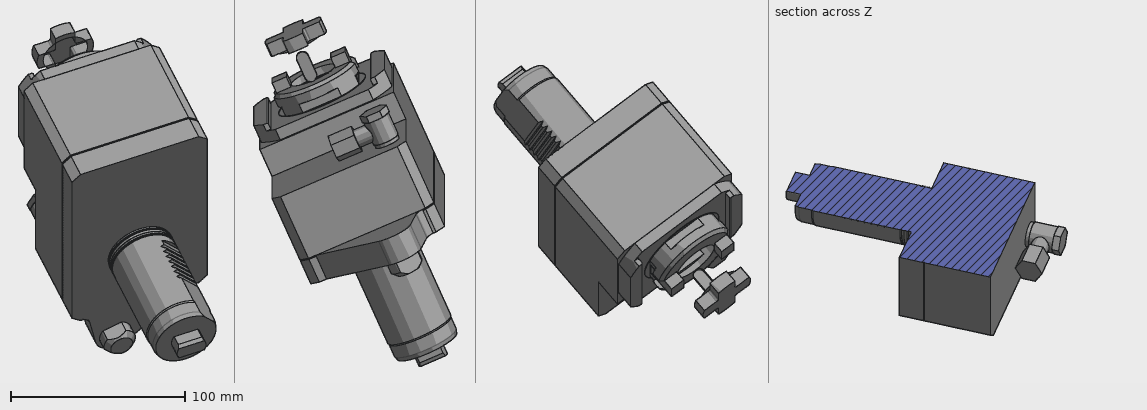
import cadquery as cq
import math


clearance = 1.0

body_half_width = 42.0
body_top = 87.2
body_bottom = -47.8
body_front = -72.5
flange_thickness = 15.3
foot_front = -55.1
foot_top = 11.1
edge_bevel_y = 5.4
edge_bevel_z = 4.8
seam_width = 0.5
seam_depth = 0.4

spindle_z = 50.1
plate_front = -79.2
plate_half_width = 41.0
plate_half_height = 36.8
plate_corner_radius = 47.0
rail_front = -83.4
rail_inner = 32.0
rail_half_height = 31.5
rail_bevel = 0.5
recess_radius = 27.3
recess_depth = 0.4

collar_radius = 26.0
collar_front = -91.7
collar_bevel = 2.0
collar_flat = 23.0
collar_flat_front = -84.2
tenon_front = -98.3
tenon_half_length = 22.9
tenon_inner_end = 14.0
tenon_width = 12.1
spindle_radius = 13.7
cross_front = -120.4
cross_thickness = 8.0
cross_radius = 17.5
cross_fillet = 1.4
key_front = -110.2
key_width = 7.2
key_reach = 15.5

shank_radius = 19.9
shank_end = 70.0
pilot_start = 59.9
pilot_step_length = 1.0
pilot_radius = 19.5
pilot_bevel_length = 2.5
pilot_bevel_depth = 0.8
neck_length = 1.4
ring_radius = 19.7
ring_start = 2.4
ring_end = 4.2
groove_start = 5.5
groove_end = 6.5
groove_radius = 19.5
serration_flat_angle = 38
serration_flat_distance = 18.1
serration_flat_start = 11.3
serration_first = 16.0
serration_pitch = 4.0
serration_count = 7
serration_width = 2.5
serration_depth = 1.3

tang_end = 78.6
tang_radius = 9.0
tang_half_thickness = 5.2
tang_bevel_length = 2.4
tang_bevel_depth = 1.0

lug_y = -15.1
lug_radius = 12.3
lug_bottom = -82.4
lug_left_y = 32.0
lug_right_y = -30.8
lug_right_z = -52.3
lug_right_root_y = -34.8
lug_right_slope = math.radians(10.4)
stud_length = 9.8
stud_radius = 9.8
stud_bevel = 3.0
stud_flats = ((14, 7.8), (152, 6.2))

nozzle_y = -30.5
nozzle_z = -27.9
nozzle_radius = 7.8
nozzle_front = -71.5
nozzle_head_front = -75.6
nozzle_head_flats = 14.5
nozzle_neck_length = 2.2
nozzle_neck_radius = 7.4
spout_radius = 5.4
spout_hex_start = -15.3
spout_hex_end = -0.8
spout_hex_flats = 14.0
port_z = -29.8
port_radius = 7.0
port_height = 0.8


def box(x0, x1, y0, y1, z0, z1):
    """Box between two opposite corners."""
    return cq.Workplane("XY").box(x1 - x0, y1 - y0, z1 - z0, centered=False).translate((x0, y0, z0))


def section(x, y=0, z=0):
    """Sketch plane across X, with local axes along Y and Z."""
    return cq.Workplane("YZ", origin=(x, y, z))


def rod(x0, x1, radius, y=0, z=0):
    """Cylinder along X."""
    return section(x0, y, z).circle(radius).extrude(x1 - x0)


def bevelled_block(x0, x1, inset=0):
    """Full-height housing slice with its four long edges bevelled."""
    side = body_half_width - inset
    top = body_top - inset
    bottom = body_bottom + inset
    corners = [
        (side, bottom + edge_bevel_z),
        (side, top - edge_bevel_z),
        (side - edge_bevel_y, top),
        (edge_bevel_y - side, top),
        (-side, top - edge_bevel_z),
        (-side, bottom + edge_bevel_z),
        (edge_bevel_y - side, bottom),
        (side - edge_bevel_y, bottom),
    ]
    return section(x0).polyline(corners).close().extrude(x1 - x0)


def housing():
    seam_end = seam_width - flange_thickness
    front = bevelled_block(body_front, -flange_thickness)
    front = front.cut(
        box(body_front, foot_front, -body_half_width, body_half_width, body_bottom, foot_top)
    )
    seam = bevelled_block(-flange_thickness, seam_end, seam_depth)
    return front.union(seam).union(bevelled_block(seam_end, 0))


def lug():
    centre_z = lug_bottom + lug_radius
    root_dy = lug_left_y - lug_y
    root_dz = body_bottom - centre_z
    root_distance = math.hypot(root_dy, root_dz)
    left_angle = math.atan2(root_dz, root_dy) - math.acos(lug_radius / root_distance)
    right_angle = math.pi + lug_right_slope

    def on_tip(angle):
        return (lug_y + lug_radius * math.cos(angle), centre_z + lug_radius * math.sin(angle))

    outline = (
        section(-flange_thickness)
        .moveTo(lug_left_y, body_bottom + edge_bevel_z)
        .lineTo(lug_left_y, body_bottom)
        .lineTo(*on_tip(left_angle))
        .threePointArc((lug_y, lug_bottom), on_tip(right_angle))
        .lineTo(lug_right_y, lug_right_z)
        .tangentArcPoint((lug_right_root_y, body_bottom), relative=False)
        .lineTo(lug_right_root_y, body_bottom + edge_bevel_z)
        .close()
    )
    return outline.extrude(flange_thickness).union(locating_stud(lug_y, centre_z))


def locating_stud(y, z):
    """Round stud with two flats along its full length."""
    stud = rod(0, stud_length, stud_radius, y, z).faces(">X").chamfer(stud_bevel)
    for tilt, distance in stud_flats:
        beyond_flat = box(
            0, stud_length,
            y - stud_radius, y + stud_radius,
            z + distance, z + stud_radius,
        )
        stud = stud.cut(beyond_flat.rotate((0, y, z), (1, y, z), tilt))
    return stud


def front_plate():
    top = spindle_z + plate_half_height
    bottom = spindle_z - plate_half_height
    plate = box(rail_front, body_front, -plate_half_width, plate_half_width, bottom, top)
    plate = plate.intersect(rod(rail_front, body_front, plate_corner_radius, z=spindle_z))

    rail_top = spindle_z + rail_half_height
    rail_bottom = spindle_z - rail_half_height
    plate = plate.cut(box(rail_front, plate_front, -rail_inner, rail_inner, bottom, top))
    for z0, z1 in ((bottom, rail_bottom), (rail_top, top)):
        plate = plate.cut(box(rail_front, plate_front, -plate_half_width, plate_half_width, z0, z1))
    for side in (-1, 1):
        bevel = (
            cq.Workplane("XY", origin=(rail_front, side * rail_inner, rail_bottom))
            .polyline([(0, 0), (rail_bevel, 0), (0, side * rail_bevel)])
            .close()
            .extrude(rail_top - rail_bottom)
        )
        plate = plate.cut(bevel)

    return plate.cut(rod(plate_front, plate_front + recess_depth, recess_radius, z=spindle_z))


def collar():
    ring = rod(collar_front, body_front, collar_radius, z=spindle_z).faces("<X").chamfer(collar_bevel)

    squared = box(
        collar_flat_front, body_front,
        -collar_flat, collar_flat,
        spindle_z - collar_flat, spindle_z + collar_flat,
    )
    rim = rod(collar_front, collar_flat_front, collar_radius, z=spindle_z)
    ring = ring.intersect(rim.union(squared))

    z0 = spindle_z - tenon_width / 2
    z1 = spindle_z + tenon_width / 2
    for side in (-1, 1):
        y0, y1 = sorted((side * tenon_half_length, side * collar_radius))
        ring = ring.cut(box(collar_front, plate_front, y0, y1, z0, z1))
        y0, y1 = sorted((side * tenon_half_length, side * tenon_inner_end))
        ring = ring.union(box(tenon_front, plate_front, y0, y1, z0, z1))
    return ring


def spindle():
    shaft = rod(cross_front + cross_thickness, collar_front, spindle_radius, z=spindle_z)

    arm = section(cross_front, z=spindle_z).rect(2 * cross_radius, tenon_width).extrude(cross_thickness)
    cross = arm.union(arm.rotate((0, 0, spindle_z), (1, 0, spindle_z), 90))
    half = tenon_width / 2 + clearance
    inner_corners = cq.selectors.BoxSelector(
        (cross_front - clearance, -half, spindle_z - half),
        (cross_front + cross_thickness + clearance, half, spindle_z + half),
    )
    cross = cross.edges("|X").edges(inner_corners).fillet(cross_fillet)
    cross = cross.intersect(
        rod(cross_front, cross_front + cross_thickness, cross_radius, z=spindle_z)
    )

    key_length = collar_front - key_front
    key = (
        cq.Workplane("XY", origin=(key_front + key_length / 2, 0, spindle_z - key_reach))
        .slot2D(key_length, key_width)
        .extrude(key_reach)
    )
    return shaft.union(cross).union(key)


def shank():
    profile = [
        (0, 0),
        (0, groove_radius),
        (neck_length, groove_radius),
        (neck_length, shank_radius),
        (ring_start, shank_radius),
        (ring_start, ring_radius),
        (ring_end, ring_radius),
        (ring_end, shank_radius),
        (groove_start, shank_radius),
        (groove_start, groove_radius),
        (groove_end, groove_radius),
        (groove_end, shank_radius),
        (pilot_start - pilot_step_length, shank_radius),
        (pilot_start, pilot_radius),
        (shank_end - pilot_bevel_length, pilot_radius),
        (shank_end, pilot_radius - pilot_bevel_depth),
        (shank_end, 0),
    ]
    solid = cq.Workplane("XY").polyline(profile).close().revolve(360, (0, 0, 0), (1, 0, 0))

    root_distance = serration_flat_distance - serration_depth
    half_width = serration_width / 2
    outside = shank_radius + clearance
    flat_profile = [(serration_flat_start, outside), (serration_flat_start, serration_flat_distance)]
    for i in range(serration_count):
        x = serration_first + i * serration_pitch
        flat_profile += [
            (x - half_width, serration_flat_distance),
            (x, root_distance),
            (x + half_width, serration_flat_distance),
        ]
    flat_profile += [(shank_end, serration_flat_distance), (shank_end, outside)]
    cutter = cq.Workplane("XY").polyline(flat_profile).close().extrude(shank_radius, both=True)
    return solid.cut(cutter.rotate((0, 0, 0), (1, 0, 0), serration_flat_angle))


def tang():
    bevel_start = tang_end - tang_bevel_length
    bevel_z = tang_half_thickness - tang_bevel_depth
    side_profile = [
        (shank_end, -tang_half_thickness),
        (bevel_start, -tang_half_thickness),
        (tang_end, -bevel_z),
        (tang_end, bevel_z),
        (bevel_start, tang_half_thickness),
        (shank_end, tang_half_thickness),
    ]
    blade = cq.Workplane("XZ").polyline(side_profile).close().extrude(tang_radius, both=True)
    return blade.intersect(rod(shank_end, tang_end, tang_radius))


def coolant_nozzle():
    neck_front = foot_front - nozzle_neck_length
    across_corners = 1 / math.cos(math.pi / 6)
    barrel = rod(nozzle_front, neck_front, nozzle_radius, nozzle_y, nozzle_z)
    neck = rod(neck_front, foot_front, nozzle_neck_radius, nozzle_y, nozzle_z)
    head = (
        section(nozzle_head_front, nozzle_y, nozzle_z)
        .polygon(6, nozzle_head_flats * across_corners)
        .extrude(nozzle_front - nozzle_head_front)
    )

    spout_x = (nozzle_front + neck_front) / 2
    spout = (
        cq.Workplane("XZ", origin=(spout_x, nozzle_y, nozzle_z))
        .circle(spout_radius)
        .extrude(nozzle_y - spout_hex_start)
    )
    tip = (
        cq.Workplane("XZ", origin=(spout_x, spout_hex_start, nozzle_z))
        .polygon(6, spout_hex_flats * across_corners)
        .extrude(spout_hex_start - spout_hex_end)
    )
    return barrel.union(neck).union(head).union(spout).union(tip)


coolant_port = rod(0, port_height, port_radius, z=port_z)

result = housing()
for feature in (
    lug(), front_plate(), collar(), spindle(), shank(), tang(), coolant_nozzle(), coolant_port,
):
    result = result.union(feature)